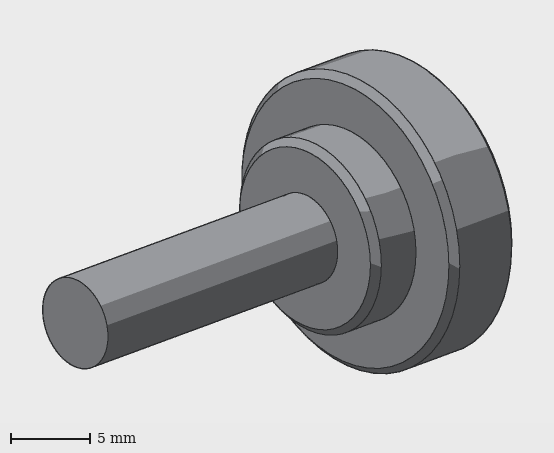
import cadquery as cq

total_length = 30.5
head_diameter = 20.0
collar_diameter = 13.0
shaft_diameter = 6.0

shaft_length = 20.0
collar_length = 3.5
head_length = 5.0
edge_size = 0.5

head_radius = head_diameter / 2
step_radius = head_radius - edge_size

collar_start = shaft_length
head_start = collar_start + collar_length
step_start = head_start + head_length
dome_start = step_start + edge_size
dome_height = total_length - dome_start


def cylinder(diameter, start, length):
    """Solid cylinder on the Y axis, running from start towards +Y."""
    plane = cq.Workplane("XZ", origin=(0, start, 0))
    return plane.circle(diameter / 2).extrude(-length)


def chamfered_cylinder(diameter, start, length):
    """Cylinder with a chamfer on its shaft-side edge."""
    return cylinder(diameter, start, length).faces("<Y").edges().chamfer(edge_size)


def domed_cap():
    """Stepped rim topped by a shallow spherical dome."""
    sphere_radius = (step_radius**2 + dome_height**2) / (2 * dome_height)
    sphere_center = total_length - sphere_radius
    mid_radius = step_radius / 2
    mid_height = sphere_center + (sphere_radius**2 - mid_radius**2) ** 0.5
    return (
        cq.Workplane("XY")
        .moveTo(0, step_start)
        .lineTo(step_radius, step_start)
        .lineTo(step_radius, dome_start)
        .threePointArc((mid_radius, mid_height), (0, total_length))
        .close()
        .revolve(360, (0, 0, 0), (0, 1, 0))
    )


shaft = cylinder(shaft_diameter, 0, shaft_length)
collar = chamfered_cylinder(collar_diameter, collar_start, collar_length)
head = chamfered_cylinder(head_diameter, head_start, head_length)

result = shaft.union(collar).union(head).union(domed_cap())